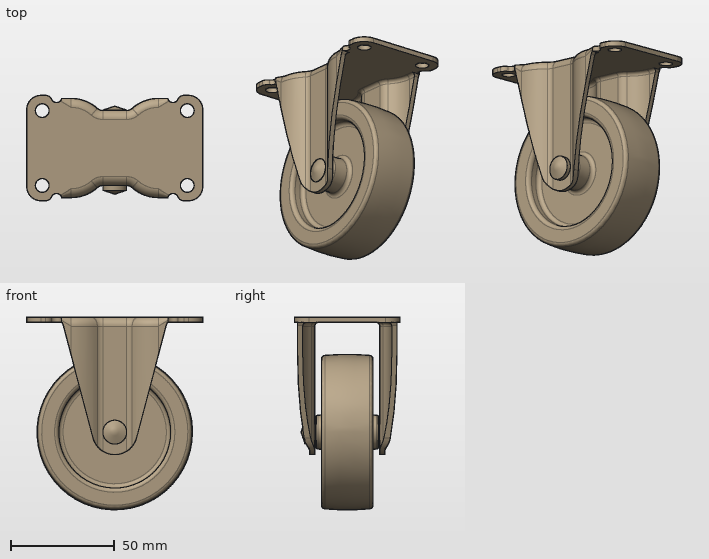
import cadquery as cq
import math


wheel_radius = 37.6
wheel_half_width = 12.5
crown_drop = 0.65
tread_corner_radius = 1.9
rim_inner_radius = 27.0
rim_fillet = 2.0
web_half_thickness = 5.4
hub_root_radius = 8.7
hub_end_radius = 8.2
hub_half_length = 15.1
hub_edge_fillet = 1.0
hub_base_fillet = 2.0
match_tolerance = 0.001

axle_radius = 4.0
head_radius = 5.8
head_rim_height = 2.2
closed_rim_height = 0.2
head_cone_height = 1.95

overall_height = 93.0
sheet = 2.5
bend_inner_radius = 1.9
bend_outer_radius = bend_inner_radius + sheet
bend_end_radius = 1.2
plate_top = overall_height - wheel_radius
plate_bottom = plate_top - sheet

plate_half_length = 42.5
plate_half_width = 25.5
plate_corner_radius = 7.0
bolt_hole_radius = 3.3
bolt_x = 35.0
bolt_y = 18.0

flat_half_length = 5.8
flat_y = 18.1
wing_x = 21.0
wing_y = 24.0
wing_end_x = 26.2
valley_radius = 3.9

notch_radius = 2.5
notch_x = 28.1
notch_mouth = math.sqrt(notch_radius**2 - (notch_x - wing_end_x)**2)
notch_y = wing_y - bend_end_radius + notch_mouth
notch_lip_radius = 3.35

leg_tip_radius = 10.9
leg_taper = math.radians(14.8)
leg_flare_height = 1.4


def waisted_quarter(offset, end_x, top):
    """Block whose far side follows the leg's S-bend, set inward from the outer face by offset."""
    run = wing_x - flat_half_length
    rise = wing_y - flat_y
    turn = 2 * math.atan2(rise, run)
    crest_radius = (run**2 + rise**2) / (2 * rise) - valley_radius
    valley = valley_radius + offset
    crest = crest_radius - offset
    inflection = (
        flat_half_length + valley * math.sin(turn),
        flat_y + valley_radius - valley * math.cos(turn),
    )
    outline = cq.Workplane("XY", origin=(0, 0, -leg_tip_radius)).lineTo(end_x, 0)
    outline = outline.lineTo(end_x, wing_y - offset)
    if end_x > wing_x:
        outline = outline.lineTo(wing_x, wing_y - offset)
    outline = (
        outline.radiusArc(inflection, -crest)
        .radiusArc((flat_half_length, flat_y - offset), valley)
        .lineTo(0, flat_y - offset)
        .close()
    )
    return outline.extrude(top + leg_tip_radius)


def round_bend(block, radius):
    """Round the top edge of a waisted block along its S-bend side."""
    side_edges = block.faces(">Z").edges("not(<X or >X or <Y)").vals()
    return block.newObject(side_edges).fillet(radius)


def wing_section(x, radius):
    """Wire across the end of the wing: a rectangle with its top outer corner rounded."""
    return (
        cq.Workplane("YZ", origin=(x, 0, 0))
        .moveTo(0, -leg_tip_radius)
        .lineTo(wing_y, -leg_tip_radius)
        .lineTo(wing_y, plate_top - radius)
        .radiusArc((wing_y - radius, plate_top), -radius)
        .lineTo(0, plate_top)
        .close()
        .val()
    )


def wing_end():
    """Wing beyond the S-bend, where the bend radius shrinks towards the notch."""
    sections = [wing_section(wing_x, bend_outer_radius), wing_section(wing_end_x, bend_end_radius)]
    return cq.Workplane(obj=cq.Solid.makeLoft(sections, True))


def leg_side_limit():
    """Prism along Y bounding the leg: tapered side, round tip about the axle, full width at the plate."""
    tangent_x = leg_tip_radius * math.cos(leg_taper)
    tangent_z = -leg_tip_radius * math.sin(leg_taper)
    flare_z = plate_bottom - leg_flare_height
    flare_x = tangent_x + (flare_z - tangent_z) * math.tan(leg_taper)
    return (
        cq.Workplane("XZ")
        .moveTo(0, plate_top)
        .lineTo(wing_end_x, plate_top)
        .lineTo(wing_end_x, plate_bottom)
        .lineTo(notch_x - notch_radius, plate_bottom)
        .lineTo(flare_x, flare_z)
        .lineTo(tangent_x, tangent_z)
        .radiusArc((0, -leg_tip_radius), leg_tip_radius)
        .close()
        .extrude(-plate_half_width)
    )


def plate_ear():
    """Flat plate beyond the legs, with its rounded corner, bolt hole and the lip of the relief notch."""
    centre_distance = notch_radius + notch_lip_radius
    lip_y = plate_half_width - notch_lip_radius
    lip_x = notch_x + math.sqrt(centre_distance**2 - (lip_y - notch_y) ** 2)
    share = notch_radius / centre_distance
    inflection = (notch_x + share * (lip_x - notch_x), notch_y + share * (lip_y - notch_y))
    ear = (
        cq.Workplane("XY", origin=(0, 0, plate_bottom))
        .moveTo(wing_end_x, 0)
        .lineTo(plate_half_length, 0)
        .lineTo(plate_half_length, plate_half_width - plate_corner_radius)
        .radiusArc((plate_half_length - plate_corner_radius, plate_half_width), -plate_corner_radius)
        .lineTo(lip_x, plate_half_width)
        .radiusArc(inflection, -notch_lip_radius)
        .lineTo(notch_x, notch_y)
        .lineTo(wing_end_x, notch_y - notch_mouth)
        .close()
        .extrude(sheet)
    )
    bolt_hole = (
        cq.Workplane("XY", origin=(bolt_x, bolt_y, plate_bottom)).circle(bolt_hole_radius).extrude(sheet)
    )
    return ear.cut(bolt_hole)


def bracket_quarter():
    outside = round_bend(waisted_quarter(0, wing_x, plate_top), bend_outer_radius).union(wing_end())
    inside = round_bend(waisted_quarter(sheet, wing_end_x, plate_bottom), bend_inner_radius)
    notch = (
        cq.Workplane("XY", origin=(notch_x, notch_y, plate_bottom)).circle(notch_radius).extrude(sheet)
    )
    return outside.cut(inside).intersect(leg_side_limit()).union(plate_ear()).cut(notch)


def make_bracket():
    quarter = bracket_quarter()
    half = quarter.union(quarter.mirror("YZ"))
    bracket = half.union(half.mirror("XZ"))
    axle_hole = cq.Workplane("XZ").circle(axle_radius).extrude(plate_half_width, both=True)
    return bracket.cut(axle_hole).solids()


def fillet_ring(body, ring_radius, ring_y, fillet):
    """Fillet the circular edges of one radius at both +-ring_y."""
    rings = [
        edge
        for edge in body.edges("%CIRCLE").vals()
        if abs(edge.radius() - ring_radius) < match_tolerance
        and abs(abs(edge.Center().y) - ring_y) < match_tolerance
    ]
    return body.newObject(rings).fillet(fillet)


def make_wheel():
    crown_edge_radius = wheel_radius - crown_drop
    profile = (
        cq.Workplane("XY")
        .moveTo(axle_radius, -hub_half_length)
        .lineTo(hub_end_radius, -hub_half_length)
        .lineTo(hub_root_radius, -web_half_thickness)
        .lineTo(rim_inner_radius, -web_half_thickness)
        .lineTo(rim_inner_radius, -wheel_half_width)
        .lineTo(crown_edge_radius, -wheel_half_width)
        .threePointArc((wheel_radius, 0), (crown_edge_radius, wheel_half_width))
        .lineTo(rim_inner_radius, wheel_half_width)
        .lineTo(rim_inner_radius, web_half_thickness)
        .lineTo(hub_root_radius, web_half_thickness)
        .lineTo(hub_end_radius, hub_half_length)
        .lineTo(axle_radius, hub_half_length)
        .close()
    )
    wheel = profile.revolve(360, (0, 0), (0, 1))

    wheel = fillet_ring(wheel, crown_edge_radius, wheel_half_width, tread_corner_radius)
    wheel = fillet_ring(wheel, rim_inner_radius, wheel_half_width, rim_fillet)
    wheel = fillet_ring(wheel, rim_inner_radius, web_half_thickness, rim_fillet)
    wheel = fillet_ring(wheel, hub_root_radius, web_half_thickness, hub_base_fillet)
    return fillet_ring(wheel, hub_end_radius, hub_half_length, hub_edge_fillet).solids()


def make_axle():
    formed_rim_y = -flat_y - head_rim_height
    closed_rim_y = flat_y + closed_rim_height
    profile = (
        cq.Workplane("XY")
        .moveTo(0, formed_rim_y - head_cone_height)
        .lineTo(head_radius, formed_rim_y)
        .lineTo(head_radius, -flat_y)
        .lineTo(axle_radius, -flat_y)
        .lineTo(axle_radius, flat_y)
        .lineTo(head_radius, flat_y)
        .lineTo(head_radius, closed_rim_y)
        .lineTo(0, closed_rim_y + head_cone_height)
        .close()
    )
    return profile.revolve(360, (0, 0), (0, 1))


bracket = make_bracket()
wheel = make_wheel()
axle = make_axle()

result = cq.Compound.makeCompound([bracket.val(), wheel.val(), axle.val()])